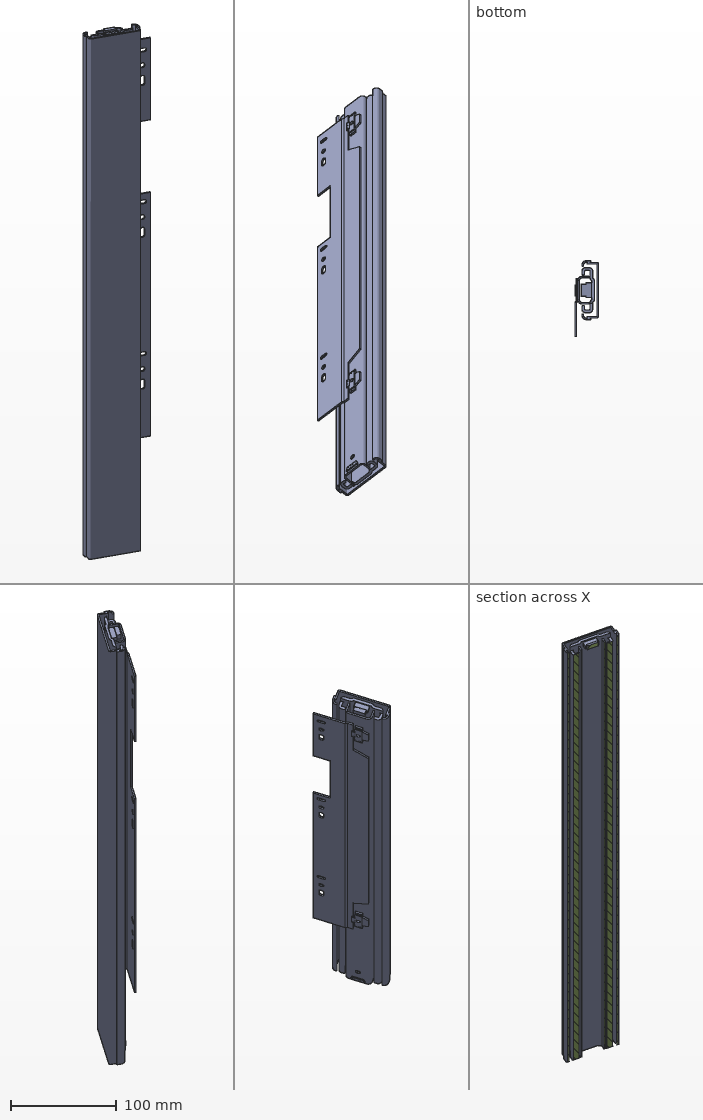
import cadquery as cq

MID_Y = 28.0
TOP_Z = 550.0
TAB_DROP = 1.5

OUTER_SHEET = 1.5
OUTER_BACK_X = 22.5
OUTER_LIP_X = 6.5
OUTER_HALF = 28.0
OUTER_SHOULDER_X = 12.0
OUTER_FLANGE_X = 15.5
OUTER_LIP_END = 22.5
OUTER_BEND = 1.0
OUTER_LIP_BEND = 3.6

MIDDLE_SHEET = 3.0
MIDDLE_BACK_X = 17.0
MIDDLE_HALF = 21.5
MIDDLE_LIP_END = 14.5
MIDDLE_BEND = 2.0
MIDDLE_PAD_RISE = 1.5
MIDDLE_PAD_HALF = 11.0
MIDDLE_FLANGE_CUT = 5.5
TAB_WIDTH = 1.5

INNER_SHEET = 1.5
INNER_FACE_X = 3.0
INNER_EDGE_X = 14.0
INNER_HALF = 13.0
INNER_BEND = 3.5
INNER_BOTTOM_Z = 2.0
INNER_TOP_Z = 547.0
INNER_HOLE_DIAMETER = 5.0
INNER_HOLE_Z = 21.0
STOP_LIP_Z = 5.0
STOP_LIP_HEIGHT = 4.5
STOP_LIP_BASE = 15.0
STOP_LIP_CREST = 11.5
STOP_LIP_DEPTH = 1.0

BRACKET_SHEET = 1.5
BRACKET_JOGGLE = 1.0
JOGGLE_RUN = 2.0
BRACKET_TOP_Y = 72.0
BRACKET_BEND_Y = 40.0
BRACKET_END_EDGE_Y = 32.5
BRACKET_PAD_EDGE_Y = 17.0
BRACKET_BOTTOM_Z = 110.0
BRACKET_TOP_Z = 529.5
PAD_TOP_Z = 470.0
PAD_BOTTOM_Z = 171.0
PAD_SLOPE = 8.0
NOTCH_BOTTOM_Z = 367.0
NOTCH_TOP_Z = 443.5
NOTCH_FLOOR_Y = 55.0
HOLE_Y = 64.0
HOLE_GROUP_TOP_Z = 502.0
HOLE_GROUP_PITCH = 160.0
HOLE_GROUPS = 3
HOLE_SPACING = 16.0
HOLE_DIAMETER = 5.0
CROSS_SLOT_LENGTH = 8.0
CROSS_SLOT_WIDTH = 4.0
LONG_SLOT_LENGTH = 10.5

CLIP_CENTRES_Z = (131.0, 512.5)
CLIP_LENGTH = 28.5
CLIP_TOP_Y = 30.0
CLIP_BOTTOM_Y = 23.0
CLIP_END_LENGTH = 3.0
CLIP_TONGUE_TOP_Y = 33.5
CLIP_TONGUE_LENGTH = 10.0
CLIP_WING_ROOT = 17.5
CLIP_WING_TIP = 12.0
CLIP_HOLE_DIAMETER = 4.0

STOP_NOSE_X = 6.0
STOP_NOSE_THICKNESS = 4.5
STOP_NOSE_WIDTH = 11.5
STOP_BASE_WIDTH = 14.5
STOP_BASE_DROP = 1.5
STOP_LENGTH = 5.5


def box(x, y, z):
    """Box between the (low, high) limits given for each axis."""
    size = [high - low for low, high in (x, y, z)]
    return cq.Workplane("XY").box(*size, centered=False).translate((x[0], y[0], z[0]))


def plate(points, x_low, thickness):
    """Plate with an outline of (y, z) points, lying across X."""
    return cq.Workplane("YZ", origin=(x_low, 0, 0)).polyline(points).close().extrude(thickness)


def mirrored(half_path):
    """Path of (x, distance from the mirror line) continued on the other side of the mirror line."""
    return [(x, -distance) for x, distance in reversed(half_path)] + half_path


def sheet_strip(path, sheet, bend, z_low, z_high):
    """Bent sheet along Z, from a centreline of (x, distance from the mirror line)."""
    corners = [cq.Vector(x, MID_Y + distance, z_low) for x, distance in path]
    centreline = cq.Wire.makePolygon(corners).fillet(bend)
    outline = centreline.offset2D(sheet / 2)[0]
    return cq.Workplane(cq.Solid.extrudeLinear(outline, [], cq.Vector(0, 0, z_high - z_low)))


def make_outer_rail():
    """Flat web with a shoulder along each edge, and a ball-track flange lying on each shoulder."""
    half_sheet = OUTER_SHEET / 2
    web_x = OUTER_BACK_X - half_sheet
    lip_x = OUTER_LIP_X + half_sheet
    crown = OUTER_HALF - half_sheet
    shoulder = crown - OUTER_SHEET
    web_path = [
        (web_x, shoulder),
        (OUTER_SHOULDER_X, shoulder),
    ]
    rail = sheet_strip(mirrored(web_path), OUTER_SHEET, OUTER_BEND, TAB_DROP, TOP_Z)
    for side in (-1, 1):
        flange_path = [
            (OUTER_FLANGE_X - half_sheet, side * crown),
            (lip_x, side * crown),
            (lip_x, side * (OUTER_LIP_END + half_sheet)),
        ]
        flange = sheet_strip(flange_path, OUTER_SHEET, OUTER_LIP_BEND, TAB_DROP, TOP_Z)
        rail = rail.union(flange)
    return rail


def make_middle_rail():
    half_sheet = MIDDLE_SHEET / 2
    web_x = MIDDLE_BACK_X - half_sheet
    lip_x = OUTER_LIP_X + half_sheet
    crown = MIDDLE_HALF - half_sheet
    half_path = [
        (web_x + MIDDLE_PAD_RISE, MIDDLE_PAD_HALF - MIDDLE_PAD_RISE),
        (web_x, MIDDLE_PAD_HALF),
        (web_x, crown),
        (lip_x, crown),
        (lip_x, MIDDLE_LIP_END + half_sheet),
    ]
    rail = sheet_strip(mirrored(half_path), MIDDLE_SHEET, MIDDLE_BEND, TAB_DROP, TOP_Z)
    for low, high in ((-OUTER_HALF, -MIDDLE_LIP_END), (MIDDLE_LIP_END, OUTER_HALF)):
        flange_end = box(
            (OUTER_LIP_X, MIDDLE_BACK_X - MIDDLE_SHEET),
            (MID_Y + low, MID_Y + high),
            (TOP_Z - MIDDLE_FLANGE_CUT, TOP_Z),
        )
        rail = rail.cut(flange_end)
    tab_y = MID_Y + MIDDLE_PAD_HALF
    tab = box(
        (MIDDLE_BACK_X - MIDDLE_SHEET, MIDDLE_BACK_X),
        (tab_y, tab_y + TAB_WIDTH),
        (0, 2 * TAB_DROP),
    )
    return rail.union(tab)


def make_inner_rail():
    half_sheet = INNER_SHEET / 2
    web_x = INNER_FACE_X + half_sheet
    crown = INNER_HALF - half_sheet
    half_path = [
        (web_x, crown),
        (INNER_EDGE_X - half_sheet, crown),
    ]
    rail = sheet_strip(mirrored(half_path), INNER_SHEET, INNER_BEND, INNER_BOTTOM_Z, INNER_TOP_Z)
    hole = (
        cq.Workplane("YZ", origin=(0, MID_Y, INNER_HOLE_Z))
        .circle(INNER_HOLE_DIAMETER / 2)
        .extrude(INNER_FACE_X + INNER_SHEET)
    )
    stop_lip = plate(
        [
            (MID_Y - STOP_LIP_BASE / 2, STOP_LIP_Z),
            (MID_Y + STOP_LIP_BASE / 2, STOP_LIP_Z),
            (MID_Y + STOP_LIP_CREST / 2, STOP_LIP_Z + STOP_LIP_HEIGHT),
            (MID_Y - STOP_LIP_CREST / 2, STOP_LIP_Z + STOP_LIP_HEIGHT),
        ],
        INNER_FACE_X - STOP_LIP_DEPTH,
        STOP_LIP_DEPTH,
    )
    return rail.cut(hole).union(stop_lip)


def bracket_blank():
    """Joggled strip: a flange at X = 0 and a pad that lies on the inner rail's web."""
    pad_start_y = BRACKET_BEND_Y - JOGGLE_RUN
    section = [
        (0, BRACKET_TOP_Y),
        (0, BRACKET_BEND_Y),
        (BRACKET_JOGGLE, pad_start_y),
        (BRACKET_JOGGLE, BRACKET_PAD_EDGE_Y),
        (BRACKET_JOGGLE + BRACKET_SHEET, BRACKET_PAD_EDGE_Y),
        (BRACKET_JOGGLE + BRACKET_SHEET, pad_start_y),
        (BRACKET_SHEET, BRACKET_BEND_Y),
        (BRACKET_SHEET, BRACKET_TOP_Y),
    ]
    strip = cq.Workplane("XY", origin=(0, 0, BRACKET_BOTTOM_Z)).polyline(section).close()
    return strip.extrude(BRACKET_TOP_Z - BRACKET_BOTTOM_Z)


def bracket_outline():
    """Flat pattern of the bracket, as thick as the joggled strip is deep."""
    points = [
        (BRACKET_TOP_Y, BRACKET_TOP_Z),
        (BRACKET_TOP_Y, NOTCH_TOP_Z),
        (NOTCH_FLOOR_Y, NOTCH_TOP_Z),
        (NOTCH_FLOOR_Y, NOTCH_BOTTOM_Z),
        (BRACKET_TOP_Y, NOTCH_BOTTOM_Z),
        (BRACKET_TOP_Y, BRACKET_BOTTOM_Z),
        (BRACKET_END_EDGE_Y, BRACKET_BOTTOM_Z),
        (BRACKET_END_EDGE_Y, PAD_BOTTOM_Z - PAD_SLOPE),
        (BRACKET_PAD_EDGE_Y, PAD_BOTTOM_Z),
        (BRACKET_PAD_EDGE_Y, PAD_TOP_Z),
        (BRACKET_END_EDGE_Y, PAD_TOP_Z + PAD_SLOPE),
        (BRACKET_END_EDGE_Y, BRACKET_TOP_Z),
    ]
    return plate(points, 0, BRACKET_JOGGLE + BRACKET_SHEET)


def mounting_holes(centre_z):
    """A cross slot, a round hole and a long slot, one above the other."""
    return (
        cq.Workplane("YZ", origin=(0, HOLE_Y, centre_z))
        .circle(HOLE_DIAMETER / 2)
        .center(0, HOLE_SPACING)
        .slot2D(CROSS_SLOT_LENGTH, CROSS_SLOT_WIDTH)
        .center(0, -2 * HOLE_SPACING)
        .slot2D(LONG_SLOT_LENGTH, HOLE_DIAMETER, 90)
        .extrude(BRACKET_SHEET)
    )


def make_bracket():
    bracket = bracket_blank().intersect(bracket_outline())
    for group in range(HOLE_GROUPS):
        bracket = bracket.cut(mounting_holes(HOLE_GROUP_TOP_Z - group * HOLE_GROUP_PITCH))
    return bracket


def make_clip(centre_z):
    """Clip on the inner rail's web: raised plate with end feet, a lapping tongue and a wing."""
    z_low = centre_z - CLIP_LENGTH / 2
    z_high = centre_z + CLIP_LENGTH / 2
    foot_x = BRACKET_JOGGLE
    clip = box((0, INNER_FACE_X), (CLIP_BOTTOM_Y, CLIP_TOP_Y), (z_low, z_high))
    for foot_z in (z_low, z_high - CLIP_END_LENGTH):
        relief = box((0, foot_x), (CLIP_BOTTOM_Y, CLIP_TOP_Y), (foot_z, foot_z + CLIP_END_LENGTH))
        clip = clip.cut(relief)
    tongue = box(
        (0, foot_x),
        (CLIP_BOTTOM_Y, CLIP_TONGUE_TOP_Y),
        (centre_z - CLIP_TONGUE_LENGTH / 2, centre_z + CLIP_TONGUE_LENGTH / 2),
    )
    wing = plate(
        [
            (CLIP_BOTTOM_Y, centre_z - CLIP_WING_ROOT / 2),
            (CLIP_BOTTOM_Y, centre_z + CLIP_WING_ROOT / 2),
            (BRACKET_PAD_EDGE_Y, centre_z + CLIP_WING_TIP / 2),
            (BRACKET_PAD_EDGE_Y, centre_z - CLIP_WING_TIP / 2),
        ],
        foot_x,
        INNER_FACE_X - foot_x,
    )
    hole_y = (CLIP_BOTTOM_Y + CLIP_TOP_Y) / 2
    hole = (
        cq.Workplane("YZ", origin=(0, hole_y, centre_z))
        .circle(CLIP_HOLE_DIAMETER / 2)
        .extrude(INNER_FACE_X)
    )
    return clip.union(tongue).union(wing).cut(hole)


def make_end_stop():
    """Stop on the middle rail's pad at the upper end: a wide base with a narrower nose."""
    base_x = STOP_NOSE_X + STOP_NOSE_THICKNESS
    pad_x = MIDDLE_BACK_X - MIDDLE_SHEET + MIDDLE_PAD_RISE
    bottom_z = TOP_Z - STOP_LENGTH
    nose_y = (MID_Y - STOP_NOSE_WIDTH / 2, MID_Y + STOP_NOSE_WIDTH / 2)
    base_y = (MID_Y - STOP_BASE_WIDTH / 2, MID_Y + STOP_BASE_WIDTH / 2)
    nose = box((STOP_NOSE_X, base_x), nose_y, (bottom_z, TOP_Z))
    base = box((base_x, pad_x), base_y, (bottom_z, TOP_Z - STOP_BASE_DROP))
    return nose.union(base)


outer_rail = make_outer_rail()
middle_rail = make_middle_rail()
inner_rail = make_inner_rail()
bracket = make_bracket()
clips = [make_clip(centre_z) for centre_z in CLIP_CENTRES_Z]
end_stop = make_end_stop()

result = cq.Compound.makeCompound(
    [
        outer_rail.val(),
        middle_rail.val(),
        inner_rail.val(),
        bracket.val(),
        *[clip.val() for clip in clips],
        end_stop.val(),
    ]
)